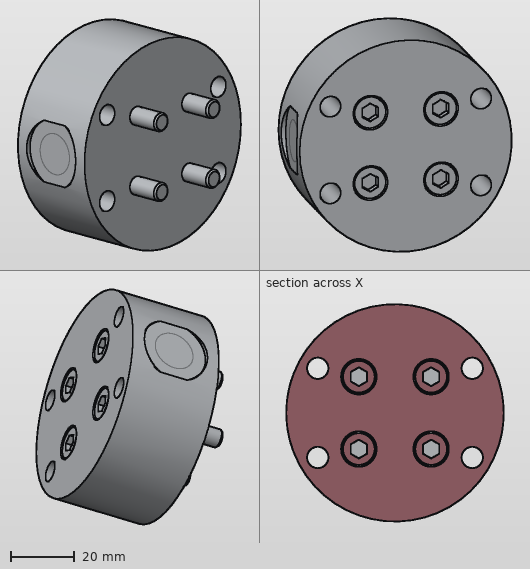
import cadquery as cq
import math

disc_diameter = 68.0
disc_thickness = 30.0
overall_length = 41.4

hole_diameter = 6.6
hole_circle_diameter = 55.75
hole_angle = math.radians(30)

bolt_circle_diameter = 31.95
counterbore_diameter = 11.0
head_diameter = 10.0
head_height = 6.0
head_recess = 0.35
counterbore_depth = head_height + head_recess
shank_diameter = 6.0
tip_chamfer_length = 0.7
tip_chamfer_depth = 0.55
hex_across_flats = 5.0
hex_depth = 3.0

spot_face_diameter = 22.0
spot_face_depth = 1.5
plug_diameter = 13.2
plug_length = 6.8

disc_radius = disc_diameter / 2
bolt_offset = bolt_circle_diameter / 2 * math.sqrt(0.5)
bolt_positions = [(y, z) for y in (-bolt_offset, bolt_offset) for z in (-bolt_offset, bolt_offset)]
hole_y = hole_circle_diameter / 2 * math.cos(hole_angle)
hole_z = hole_circle_diameter / 2 * math.sin(hole_angle)
hole_positions = [(y, z) for y in (-hole_y, hole_y) for z in (-hole_z, hole_z)]


def plane_at(x):
    """YZ sketch plane at the given X, extruding toward +X."""
    return cq.Workplane("YZ", origin=(x, 0, 0))


def cylinders(x, length, diameter, positions):
    return plane_at(x).pushPoints(positions).circle(diameter / 2).extrude(length)


def disc():
    body = plane_at(0).circle(disc_radius).extrude(disc_thickness)
    body = body.cut(cylinders(0, disc_thickness, hole_diameter, hole_positions))
    return body.cut(cylinders(0, counterbore_depth, counterbore_diameter, bolt_positions))


def screws():
    heads = cylinders(head_recess, head_height, head_diameter, bolt_positions)
    shanks = cylinders(counterbore_depth, overall_length - counterbore_depth, shank_diameter, bolt_positions)
    shanks = shanks.faces(">X").chamfer(tip_chamfer_length, tip_chamfer_depth)
    hex_circle_diameter = hex_across_flats / math.cos(math.pi / 6)
    hexagon = cq.Sketch().regularPolygon(hex_circle_diameter / 2, 6)
    sockets = plane_at(head_recess).pushPoints(bolt_positions).placeSketch(hexagon).extrude(hex_depth)
    return heads.union(shanks).cut(sockets)


def spot_face_plane(side):
    """Outward-facing plane of a spot face floor; side is -1 for -Y and +1 for +Y."""
    return cq.Plane(
        origin=(disc_thickness / 2, side * (disc_radius - spot_face_depth), 0),
        xDir=(1, 0, 0),
        normal=(0, side, 0),
    )


def spot_face_cutter(side):
    return cq.Workplane(spot_face_plane(side)).circle(spot_face_diameter / 2).extrude(2 * spot_face_depth)


def plug(side):
    """Round port plug that ends flush with the spot face floor."""
    return cq.Workplane(spot_face_plane(side)).circle(plug_diameter / 2).extrude(-plug_length)


result = disc().union(screws())
for side in (-1, 1):
    result = result.cut(spot_face_cutter(side))

for side in (-1, 1):
    result = result.union(plug(side), clean=False)